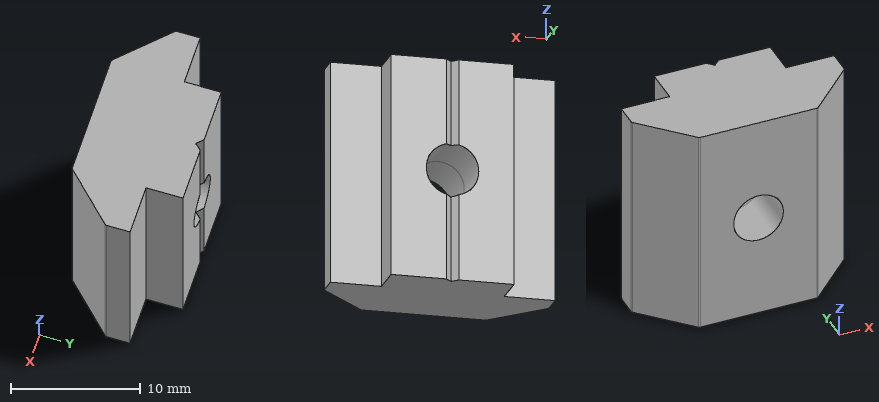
import cadquery as cq

width = 18.0
depth = 9.0
length = 18.0
stem_width = 9.83
stem_height = 3.0
flange_edge = 2.0
edge_radius = 0.2
groove_depth = 0.5
hole_diameter = 4.2

half_width = width / 2
half_stem = stem_width / 2
back = depth / 2
front = -back
shoulder = back - stem_height
slope_start = shoulder - flange_edge
half_front = half_width - (slope_start - front)


def nut_body():
    """Symmetric T profile with sloped front sides and a V groove in the stem."""
    body = (
        cq.Workplane("XY")
        .workplane(offset=-length / 2)
        .moveTo(0, back - groove_depth)
        .lineTo(groove_depth, back)
        .lineTo(half_stem, back)
        .lineTo(half_stem, shoulder)
        .lineTo(half_width, shoulder)
        .lineTo(half_width, slope_start)
        .lineTo(half_front, front)
        .lineTo(0, front)
        .mirrorY()
        .extrude(length)
    )
    for x, y in ((half_width, slope_start), (half_front, front)):
        for side in (-1, 1):
            edge = cq.selectors.NearestToPointSelector((side * x, y, 0))
            body = body.edges("|Z").edges(edge).fillet(edge_radius)
    return body


def through_hole():
    """Round hole along Y through the middle of the nut."""
    return cq.Workplane("XZ").circle(hole_diameter / 2).extrude(depth, both=True)


result = nut_body().cut(through_hole())